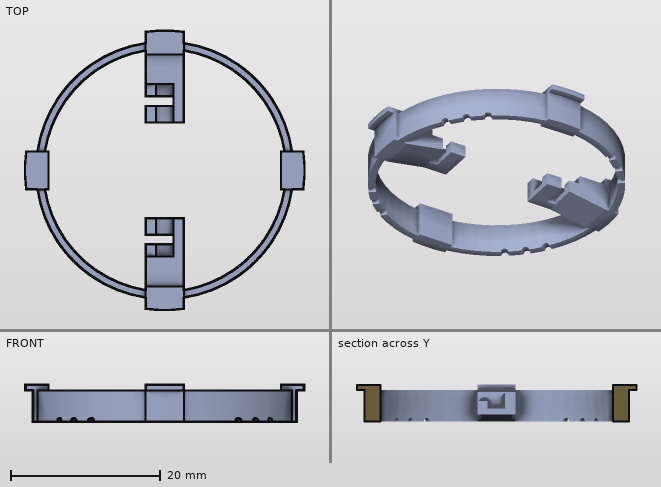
import cadquery as cq
import math

RING_OUTER_RADIUS = 17.25
RING_INNER_RADIUS = 16.25
RING_HEIGHT = 4.25

PAD_ANGLES = (0, 90, 180, 270)
PAD_WIDTH = 5.1
PAD_INNER_FACE = 15.55
COLUMN_OUTER_RADIUS = 17.75
FLANGE_OUTER_RADIUS = 18.75
TOTAL_HEIGHT = 5.0

ARM_TIP = 6.4
ARM_TOP = 4.0
ARM_TIP_BOTTOM = 1.0
POCKET_END = 11.55
SLOT_INNER = 8.65
SLOT_OUTER = 9.9
ARM_WALL_THICKNESS = 1.4
LIP_WIDTH = 1.35
LIP_TOP = 2.75
SEAT_TOP = 1.75

NOTCH_RADIUS = 0.5
NOTCH_SPACING_ANGLE = 10
NOTCH_GROUP_ANGLES = (45, 135, 225, 315)
NOTCH_OFFSETS = (-NOTCH_SPACING_ANGLE, 0, NOTCH_SPACING_ANGLE)

Z_AXIS = ((0, 0, 0), (0, 0, 1))
HALF_WIDTH = PAD_WIDTH / 2
WALL_FACE = HALF_WIDTH - ARM_WALL_THICKNESS


def box_between(x_range, y_range, z_range):
    """Axis-aligned box spanning the given ranges."""
    sizes = [high - low for low, high in (x_range, y_range, z_range)]
    corner = (x_range[0], y_range[0], z_range[0])
    return cq.Workplane("XY").box(*sizes, centered=False).translate(corner)


def make_ring():
    ring = cq.Workplane("XY").circle(RING_OUTER_RADIUS).circle(RING_INNER_RADIUS)
    return ring.extrude(RING_HEIGHT)


def pad_block(outer_radius, bottom, top):
    """Block on the +X side with a flat inner face and a round outer face."""
    corner_x = math.sqrt(outer_radius**2 - HALF_WIDTH**2)
    return (
        cq.Workplane("XY")
        .workplane(offset=bottom)
        .moveTo(PAD_INNER_FACE, -HALF_WIDTH)
        .lineTo(corner_x, -HALF_WIDTH)
        .threePointArc((outer_radius, 0), (corner_x, HALF_WIDTH))
        .lineTo(PAD_INNER_FACE, HALF_WIDTH)
        .close()
        .extrude(top - bottom)
    )


def make_pad():
    column = pad_block(COLUMN_OUTER_RADIUS, 0, RING_HEIGHT)
    flange = pad_block(FLANGE_OUTER_RADIUS, RING_HEIGHT, TOTAL_HEIGHT)
    return column.union(flange)


def make_arm():
    """Arm on the +Y side; its underside rises from the column to the slot, then runs flat."""
    beam = (
        cq.Workplane("YZ")
        .workplane(offset=-HALF_WIDTH)
        .moveTo(ARM_TIP, ARM_TIP_BOTTOM)
        .lineTo(SLOT_OUTER, ARM_TIP_BOTTOM)
        .lineTo(PAD_INNER_FACE, 0)
        .lineTo(PAD_INNER_FACE, ARM_TOP)
        .lineTo(ARM_TIP, ARM_TOP)
        .close()
        .extrude(PAD_WIDTH)
    )
    pocket_y = (ARM_TIP, POCKET_END)
    lip_edge = -HALF_WIDTH + LIP_WIDTH
    above_lip = box_between((-HALF_WIDTH, WALL_FACE), pocket_y, (LIP_TOP, ARM_TOP))
    above_seat = box_between((lip_edge, WALL_FACE), pocket_y, (SEAT_TOP, ARM_TOP))
    slot = box_between((-HALF_WIDTH, WALL_FACE), (SLOT_INNER, SLOT_OUTER), (0, ARM_TOP))
    return beam.cut(above_lip).cut(above_seat).cut(slot)


def make_notch(angle):
    """Radial cylinder centred on the ring's bottom edge at the given angle."""
    cutter = cq.Workplane("YZ").circle(NOTCH_RADIUS).extrude(FLANGE_OUTER_RADIUS)
    return cutter.rotate(*Z_AXIS, angle)


ring = make_ring()
for group_angle in NOTCH_GROUP_ANGLES:
    for offset in NOTCH_OFFSETS:
        ring = ring.cut(make_notch(group_angle + offset))

result = ring
for pad_angle in PAD_ANGLES:
    result = result.union(make_pad().rotate(*Z_AXIS, pad_angle))

arm = make_arm()
result = result.union(arm).union(arm.mirror("XZ"))